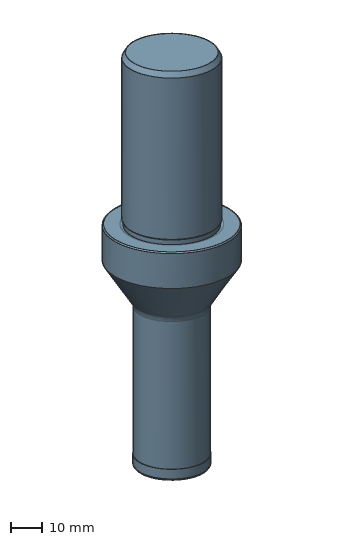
import cadquery as cq

total_height = 145.4
undercut_top = 87.1
collar_top = 85.4
collar_bottom = 72.7
cone_bottom = 57.7
head_top = 5.1

shank_radius = 16.0
top_chamfer_height = 1.9
top_chamfer_inset = 1.2

undercut_radius = 15.5
undercut_slope = 0.5
undercut_face_radius = 16.6
undercut_face_depth = 0.3

collar_radius = 22.2
collar_chamfer = 0.5
neck_radius = 12.4
cone_fillet = 3.5

head_radius = 12.5
rim_bottom = 1.7
dome_rim_radius = 11.9
dome_height = 1.0


def revolve_about_z(outline):
    """Turn a closed half outline in the XZ plane about the Z axis."""
    return outline.revolve(360, (0, 0, 0), (0, 1, 0))


def make_holder():
    """Neck, cone, collar, undercut and shank in one turned piece."""
    outline = (
        cq.Workplane("XZ")
        .moveTo(0, head_top)
        .lineTo(neck_radius, head_top)
        .lineTo(neck_radius, cone_bottom)
        .lineTo(collar_radius, collar_bottom)
        .lineTo(collar_radius, collar_top - collar_chamfer)
        .lineTo(collar_radius - collar_chamfer, collar_top)
        .lineTo(undercut_face_radius, collar_top)
        .lineTo(undercut_radius, collar_top - undercut_face_depth)
        .lineTo(undercut_radius, undercut_top - undercut_slope)
        .lineTo(shank_radius, undercut_top)
        .lineTo(shank_radius, total_height - top_chamfer_height)
        .lineTo(shank_radius - top_chamfer_inset, total_height)
        .lineTo(0, total_height)
        .close()
    )
    neck_edge = cq.selectors.BoxSelector(
        (-collar_radius, -collar_radius, cone_bottom - cone_fillet / 2),
        (collar_radius, collar_radius, cone_bottom + cone_fillet / 2),
    )
    return revolve_about_z(outline).edges("%CIRCLE").edges(neck_edge).fillet(cone_fillet)


def make_head():
    """Disc with a beveled rim and domed end, seated flat against the neck."""
    dome_midpoint = (dome_rim_radius / 2, dome_height / 4)
    outline = (
        cq.Workplane("XZ")
        .moveTo(0, 0)
        .threePointArc(dome_midpoint, (dome_rim_radius, dome_height))
        .lineTo(head_radius, rim_bottom)
        .lineTo(head_radius, head_top)
        .lineTo(0, head_top)
        .close()
    )
    return revolve_about_z(outline)


holder = make_holder()
head = make_head()

result = cq.Compound.makeCompound([*holder.solids().vals(), *head.solids().vals()])